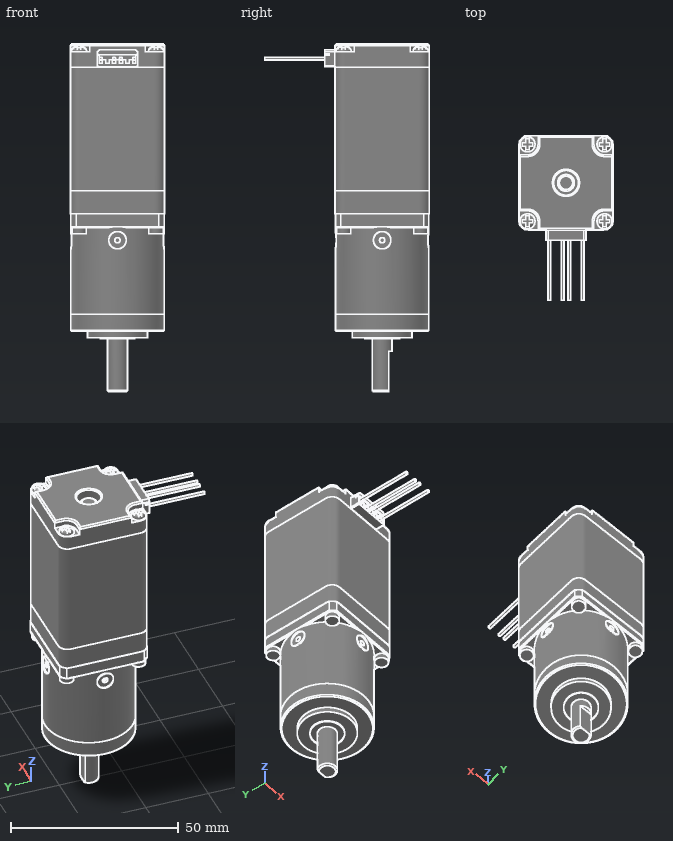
import cadquery as cq
import math


motor_width = 28.2
motor_half = motor_width / 2
motor_corner_radius = 3.0
motor_length = 50.8
cover_thickness = 6.9
rear_cover_bottom = motor_length - cover_thickness
rear_edge_chamfer = 0.5

bolt_offset = 11.5
corners = [(sx * bolt_offset, sy * bolt_offset) for sx in (-1, 1) for sy in (-1, 1)]

rear_hole_radius = 3.7
rear_hole_chamfer = 0.35
rotor_radius = 2.5
rotor_chamfer = 0.5
rotor_recess = 2.0

notch_radius = 3.15
notch_depth = 2.4
rear_head_radius = 2.25
rear_head_height = 1.5
rear_head_rounding = 1.3
cross_length = 3.2
cross_width = 1.0
cross_depth = 0.8

connector_width = 12.1
connector_depth = 3.1
connector_top = motor_length - 1.7
connector_height = 5.05
connector_front = -motor_half - connector_depth
connector_top_chamfer = 0.7
connector_bottom_chamfer = 0.3
pin_pitch = 2.0
pin_count = 6
socket_width = 11.0
socket_top = motor_length - 3.2
socket_height = 1.55
socket_depth = 1.5
window_length = 1.0
window_top = motor_length - 3.0
window_height = 0.35
window_setback = 0.35
slot_width = 1.0
slot_height = 0.95
wire_positions = (-2.5, -0.5, 0.5, 2.5)
wire_radius = 0.45
wire_height = motor_length - 4.4
wire_end = -35.1

flange_width = 28.0
flange_thickness = 4.1
flange_corner_chamfer = 1.6
flange_edge_chamfer = 0.3
front_head_radius = 2.1
front_head_height = 1.8
gearbox_radius = 14.0
gearbox_length = 35.1
end_cover_thickness = 5.1
end_cover_chamfer = 0.4
housing_bottom = end_cover_thickness - gearbox_length

side_screw_height = -7.85
side_screw_radius = 2.6
side_screw_recess = 0.35
side_socket_radius = 0.8
side_socket_depth = 1.0

pilot_radius = 9.0
pilot_height = 1.9
collar_radius = 5.2
collar_height = 0.3
shaft_radius = 3.0
total_length = 104.0
shaft_tip = motor_length - total_length
shaft_chamfer = 0.5
shaft_flat_offset = 2.0
shaft_flat_top = -gearbox_length - 6.0


def cylinder(radius, bottom, height, center=(0, 0)):
    return cq.Workplane("XY", origin=(*center, bottom)).circle(radius).extrude(height)


def motor_block(bottom, height):
    block = cq.Workplane("XY", origin=(0, 0, bottom)).rect(motor_width, motor_width).extrude(height)
    return block.edges("|Z").fillet(motor_corner_radius)


def corner_notch(x, y):
    """Round pocket over a bolt, opened to both outer sides of its corner."""
    bottom = motor_length - notch_depth
    width = 2 * notch_radius
    notch = cylinder(notch_radius, bottom, notch_depth, (x, y))
    outward_x = x + math.copysign(bolt_offset / 2, x)
    outward_y = y + math.copysign(bolt_offset / 2, y)
    for center_x, center_y, size_x, size_y in (
        (outward_x, y, bolt_offset, width),
        (x, outward_y, width, bolt_offset),
    ):
        opening = cq.Workplane("XY", origin=(center_x, center_y, bottom)).rect(size_x, size_y)
        notch = notch.union(opening.extrude(notch_depth))
    return notch


def rear_screw_head(x, y):
    """Domed head with a cross recess."""
    bottom = motor_length - notch_depth
    top = bottom + rear_head_height
    head = cylinder(rear_head_radius, bottom, rear_head_height, (x, y))
    head = head.faces(">Z").edges().fillet(rear_head_rounding)
    for size in ((cross_length, cross_width), (cross_width, cross_length)):
        head = head.cut(cq.Workplane("XY", origin=(x, y, top)).rect(*size).extrude(-cross_depth))
    return head


def rear_hole():
    """Cutter for the through hole around the rotor end, chamfered at the rear face."""
    hole = cylinder(rear_hole_radius, rear_cover_bottom, cover_thickness)
    countersink = cylinder(
        rear_hole_radius + rear_hole_chamfer, motor_length - rear_hole_chamfer, 2 * rear_hole_chamfer
    )
    return hole.union(countersink.faces("<Z").chamfer(rear_hole_chamfer))


def connector():
    body = (
        cq.Workplane("XZ", origin=(0, -motor_half, connector_top - connector_height / 2))
        .rect(connector_width, connector_height)
        .extrude(connector_depth)
        .edges("|Y and >Z")
        .chamfer(connector_top_chamfer)
        .edges("|Y and <Z")
        .chamfer(connector_bottom_chamfer)
    )
    socket_bottom = socket_top - socket_height
    face = cq.Workplane("XZ", origin=(0, connector_front, 0))
    cavity = (
        face.center(0, socket_top - socket_height / 2)
        .rect(socket_width, socket_height)
        .extrude(-socket_depth)
    )
    slots = (
        face.center(0, socket_bottom - slot_height / 2)
        .rarray(pin_pitch, 1, pin_count, 1)
        .rect(slot_width, slot_height)
        .extrude(-socket_depth)
    )
    window = (
        cq.Workplane("YZ", origin=(0, connector_front + window_setback + window_length / 2, window_top))
        .center(0, -window_height / 2)
        .rect(window_length, window_height)
        .extrude(connector_width / 2, both=True)
    )
    return body.cut(cavity).cut(slots).cut(window)


def wire(position):
    start = connector_front + socket_depth
    return (
        cq.Workplane("XZ", origin=(position * pin_pitch, start, wire_height))
        .circle(wire_radius)
        .extrude(start - wire_end)
    )


def make_rear_cover():
    cover = motor_block(rear_cover_bottom, cover_thickness)
    for x, y in corners:
        cover = cover.cut(corner_notch(x, y))
    cover = cover.faces(">Z").edges().chamfer(rear_edge_chamfer)
    cover = cover.cut(rear_hole())
    for x, y in corners:
        cover = cover.union(rear_screw_head(x, y))
    cover = cover.union(connector())
    for position in wire_positions:
        cover = cover.union(wire(position))
    return cover


def make_stator():
    """Laminated middle section, carrying the end of the rotor shaft."""
    stator = motor_block(cover_thickness, rear_cover_bottom - cover_thickness)
    rotor_end = cylinder(rotor_radius, rear_cover_bottom, cover_thickness - rotor_recess)
    return stator.union(rotor_end.faces(">Z").chamfer(rotor_chamfer))


def make_front_cover():
    return motor_block(0, cover_thickness)


def side_screw():
    """Cutter for a flat screw head and its socket on the -Y side."""
    head_face = -gearbox_radius + side_screw_recess
    place = cq.Workplane("XZ", origin=(0, head_face, side_screw_height))
    recess = place.circle(side_screw_radius).extrude(2 * side_screw_recess)
    return recess.union(place.circle(side_socket_radius).extrude(-side_socket_depth))


def make_gearbox_housing():
    housing = cq.Workplane("XY").rect(flange_width, flange_width).extrude(-flange_thickness)
    housing = housing.edges("|Z").chamfer(flange_corner_chamfer)
    housing = housing.faces("<Z").edges().chamfer(flange_edge_chamfer)
    housing = housing.union(cylinder(gearbox_radius, housing_bottom, -housing_bottom))
    for x, y in corners:
        head_bottom = -flange_thickness - front_head_height
        housing = housing.union(cylinder(front_head_radius, head_bottom, front_head_height, (x, y)))
    for quarter in range(4):
        housing = housing.cut(side_screw().rotate((0, 0, 0), (0, 0, 1), 90 * quarter))
    return housing


def output_shaft():
    shaft = cylinder(shaft_radius, shaft_tip, -gearbox_length - shaft_tip)
    shaft = shaft.faces("<Z").chamfer(shaft_chamfer)
    flat = cq.Workplane("XY", origin=(0, shaft_flat_offset + shaft_radius / 2, shaft_tip))
    return shaft.cut(flat.rect(2 * shaft_radius, shaft_radius).extrude(shaft_flat_top - shaft_tip))


def make_end_cover():
    """Lower gearbox cover with its pilot boss, bearing collar and output shaft."""
    cover = cylinder(gearbox_radius, -gearbox_length, end_cover_thickness)
    cover = cover.faces("<Z").edges().chamfer(end_cover_chamfer)
    cover = cover.union(cylinder(pilot_radius, -gearbox_length, -pilot_height))
    cover = cover.union(cylinder(collar_radius, -gearbox_length - pilot_height, -collar_height))
    return cover.union(output_shaft())


rear_cover = make_rear_cover()
stator = make_stator()
front_cover = make_front_cover()
gearbox_housing = make_gearbox_housing()
end_cover = make_end_cover()

result = cq.Compound.makeCompound(
    [rear_cover.val(), stator.val(), front_cover.val(), gearbox_housing.val(), end_cover.val()]
)